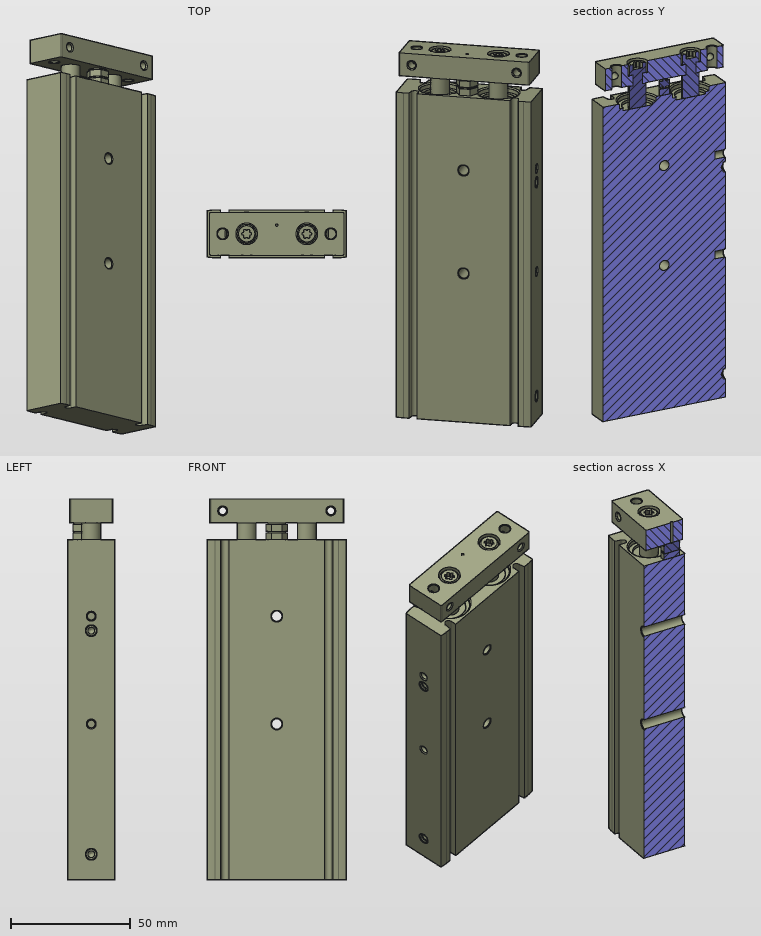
import cadquery as cq
import math

total_height = 159.0

housing_width = 58.0
housing_depth = 20.0
housing_height = 142.0
edge_strip_width = 3.2
edge_strip_drop = 0.33

groove_mouth_outer_x = 23.5
groove_outer_x = 23.0
groove_inner_x = 20.0
groove_arc_center_depth = 2.7

mount_z_values = (110.0, 65.0)
mount_bore_diameter = 4.3
mount_mouth_diameter = 5.0
side_bore_diameter = 3.2
side_mouth_diameter = 4.1
side_hole_depth = 5.0
port_z_values = (104.0, 10.7)
port_bore_diameter = 4.3
port_mouth_diameter = 5.0
port_depth = 1.1
port_drill_diameter = 2.9
port_drill_tip_angle = 118.0

rod_spacing = 25.1
recess_rim_diameter = 18.1
recess_step_diameters = (17.0, 13.7)
recess_step_depths = (2.2, 3.3)

rod_diameter = 8.0
screw_shank_diameter = 5.0
screw_head_diameter = 8.0
screw_head_top_diameter = 6.8
screw_head_height = 5.0
screw_head_sink = 0.5
socket_core_diameter = 3.0
socket_lobe_diameter = 1.1
socket_tip_diameter = 4.1
socket_lobe_count = 6
socket_depth = 2.4

plate_width = 56.0
plate_depth = 18.0
plate_height = 10.0
plate_corner_radius = 0.5
counterbore_diameter = 9.0
plate_hole_spacing = 45.2
vertical_bore_diameter = 4.3
vertical_mouth_diameter = 5.0
cross_bore_diameter = 3.2
cross_mouth_diameter = 4.1
pilot_diameter = 1.0

bumper_y = 3.7
hex_across_flats = 8.0
nut_collar_diameter = 7.5
nut_collar_height = 0.6

plate_bottom = total_height - plate_height
plate_middle = total_height - plate_height / 2
head_top = total_height - screw_head_sink
head_bottom = head_top - screw_head_height
recess_floor = housing_height - recess_step_depths[-1]
hex_height = (plate_bottom - housing_height) / 2 - nut_collar_height
rod_x_values = (-rod_spacing / 2, rod_spacing / 2)
plate_hole_x_values = (-plate_hole_spacing / 2, plate_hole_spacing / 2)


def upright_cylinder(diameter, bottom, top, x=0.0, y=0.0):
    """Cylinder along Z between two heights."""
    return cq.Workplane("XY", origin=(x, y, bottom)).circle(diameter / 2).extrude(top - bottom)


def mouth_cone(mouth_diameter, bore_diameter, origin, direction):
    """45-degree countersink that opens a bore at a face; direction points into the part."""
    depth = (mouth_diameter - bore_diameter) / 2
    return cq.Workplane(obj=cq.Solid.makeCone(
        mouth_diameter / 2, bore_diameter / 2, depth, cq.Vector(*origin), cq.Vector(*direction)))


def through_hole(bore_diameter, mouth_diameter, start, direction, length):
    """Bore that is countersunk at both ends."""
    start = cq.Vector(*start)
    direction = cq.Vector(*direction)
    end = start + direction * length
    bore = cq.Workplane(obj=cq.Solid.makeCylinder(bore_diameter / 2, length, start, direction))
    near_mouth = mouth_cone(mouth_diameter, bore_diameter, start.toTuple(), direction.toTuple())
    far_mouth = mouth_cone(mouth_diameter, bore_diameter, end.toTuple(), (-direction).toTuple())
    return bore.union(near_mouth).union(far_mouth)


def housing_blank():
    """Extruded bar whose broad faces curve away gently beside the four long corners."""
    half_width = housing_width / 2
    half_depth = housing_depth / 2
    strip_x = half_width - edge_strip_width
    corner_y = half_depth - edge_strip_drop
    strip_radius = (edge_strip_width**2 + edge_strip_drop**2) / (2 * edge_strip_drop)
    middle_x = strip_x + edge_strip_width / 2
    middle_y = half_depth - strip_radius + math.sqrt(strip_radius**2 - (edge_strip_width / 2) ** 2)
    return (
        cq.Workplane("XY")
        .moveTo(-strip_x, -half_depth)
        .lineTo(strip_x, -half_depth)
        .threePointArc((middle_x, -middle_y), (half_width, -corner_y))
        .lineTo(half_width, corner_y)
        .threePointArc((middle_x, middle_y), (strip_x, half_depth))
        .lineTo(-strip_x, half_depth)
        .threePointArc((-middle_x, middle_y), (-half_width, corner_y))
        .lineTo(-half_width, -corner_y)
        .threePointArc((-middle_x, -middle_y), (-strip_x, -half_depth))
        .close()
        .extrude(housing_height)
    )


def sensor_grooves():
    """Four full-length round-bottomed grooves, mirrored about both middle planes."""
    face_y = -housing_depth / 2
    arc_y = face_y + groove_arc_center_depth
    arc_radius = (groove_outer_x - groove_inner_x) / 2
    arc_bottom = (groove_inner_x + arc_radius, arc_y + arc_radius)
    groove = (
        cq.Workplane("XY")
        .moveTo(groove_inner_x, face_y)
        .lineTo(groove_mouth_outer_x, face_y)
        .lineTo(groove_outer_x, arc_y)
        .threePointArc(arc_bottom, (groove_inner_x, arc_y))
        .close()
        .extrude(housing_height)
    )
    front_pair = groove.union(groove.mirror("YZ"))
    return front_pair.union(front_pair.mirror("XZ"))


def mount_hole(z):
    """Fixing hole from the front face through to the back face."""
    return through_hole(
        mount_bore_diameter, mount_mouth_diameter, (0, -housing_depth / 2, z), (0, 1, 0), housing_depth)


def side_hole(z):
    """Blind flat-bottomed fixing hole in the left side."""
    start = (-housing_width / 2, 0, z)
    bore = cq.Solid.makeCylinder(
        side_bore_diameter / 2, side_hole_depth, cq.Vector(*start), cq.Vector(1, 0, 0))
    mouth = mouth_cone(side_mouth_diameter, side_bore_diameter, start, (1, 0, 0))
    return mouth.union(cq.Workplane(obj=bore))


def air_port(z):
    """Blind port in the left side, with a conical drill point in its floor."""
    start = cq.Vector(-housing_width / 2, 0, z)
    inward = cq.Vector(1, 0, 0)
    floor = start + inward * port_depth
    tip_radius = port_drill_diameter / 2
    tip_depth = tip_radius / math.tan(math.radians(port_drill_tip_angle / 2))
    bore = cq.Solid.makeCylinder(port_bore_diameter / 2, port_depth, start, inward)
    tip = cq.Solid.makeCone(tip_radius, 0, tip_depth, floor, inward)
    mouth = mouth_cone(port_mouth_diameter, port_bore_diameter, start.toTuple(), (1, 0, 0))
    return mouth.union(cq.Workplane(obj=bore)).union(cq.Workplane(obj=tip))


def rod_recess(x):
    """Stepped round recess in the housing top, on whose floor a rod stands."""
    recess = mouth_cone(
        recess_rim_diameter, recess_step_diameters[0], (x, 0, housing_height), (0, 0, -1))
    for diameter, depth in zip(recess_step_diameters, recess_step_depths):
        recess = recess.union(upright_cylinder(diameter, housing_height - depth, housing_height, x))
    return recess


def make_housing():
    body = housing_blank().cut(sensor_grooves())
    for z in mount_z_values:
        body = body.cut(mount_hole(z)).cut(side_hole(z))
    for z in port_z_values:
        body = body.cut(air_port(z))
    for x in rod_x_values:
        body = body.cut(rod_recess(x))
    return body


def drive_socket(x):
    """Blind six-lobed drive recess in the head of a screw."""
    bottom = head_top - socket_depth
    lobe_radius = (socket_tip_diameter - socket_lobe_diameter) / 2
    socket = upright_cylinder(socket_core_diameter, bottom, head_top, x)
    for lobe in range(socket_lobe_count):
        angle = 2 * math.pi * lobe / socket_lobe_count
        lobe_x = x + lobe_radius * math.cos(angle)
        lobe_y = lobe_radius * math.sin(angle)
        socket = socket.union(upright_cylinder(socket_lobe_diameter, bottom, head_top, lobe_x, lobe_y))
    return socket


def make_rod(x):
    """Guide rod carrying the socket-head screw that clamps the end plate."""
    rod = upright_cylinder(rod_diameter, recess_floor, plate_bottom, x)
    shank = upright_cylinder(screw_shank_diameter, plate_bottom, head_bottom, x)
    head = upright_cylinder(screw_head_diameter, head_bottom, head_top, x)
    head = head.faces(">Z").chamfer((screw_head_diameter - screw_head_top_diameter) / 2)
    return rod.union(shank).union(head).cut(drive_socket(x))


def make_end_plate():
    """Block with counterbored screw holes, crossing fixing holes and a small pilot hole."""
    plate = (
        cq.Workplane("XY", origin=(0, 0, plate_bottom))
        .rect(plate_width, plate_depth)
        .extrude(plate_height)
        .edges("|Z")
        .fillet(plate_corner_radius)
    )
    for x in rod_x_values:
        plate = plate.cut(upright_cylinder(screw_shank_diameter, plate_bottom, total_height, x))
        plate = plate.cut(upright_cylinder(counterbore_diameter, head_bottom, total_height, x))
    for x in plate_hole_x_values:
        plate = plate.cut(through_hole(
            vertical_bore_diameter, vertical_mouth_diameter, (x, 0, total_height), (0, 0, -1), plate_height))
        plate = plate.cut(through_hole(
            cross_bore_diameter, cross_mouth_diameter,
            (x, -plate_depth / 2, plate_middle), (0, 1, 0), plate_depth))
    return plate.cut(upright_cylinder(pilot_diameter, plate_bottom, total_height, 0, bumper_y))


def hexagon(bottom):
    """Upright hexagonal prism with two corners on its own X axis."""
    corner_radius = hex_across_flats / math.sqrt(3)
    corner_angles = [math.pi / 3 * corner for corner in range(6)]
    corners = [(corner_radius * math.cos(a), corner_radius * math.sin(a)) for a in corner_angles]
    return cq.Workplane("XY", origin=(0, bumper_y, bottom)).polyline(corners).close().extrude(hex_height)


def make_lock_nut():
    """Hexagon nut between two round collars; it fills the gap from the bolt to the end plate."""
    collar_bottom = housing_height + hex_height
    collars = upright_cylinder(nut_collar_diameter, collar_bottom, plate_bottom, 0, bumper_y)
    return hexagon(collar_bottom + nut_collar_height).union(collars)


housing = make_housing()
rods = [make_rod(x) for x in rod_x_values]
end_plate = make_end_plate()
bumper_bolt = hexagon(housing_height)
lock_nut = make_lock_nut()

result = cq.Compound.makeCompound(
    [
        housing.val(),
        *[rod.val() for rod in rods],
        end_plate.val(),
        bumper_bolt.val(),
        lock_nut.val(),
    ]
)